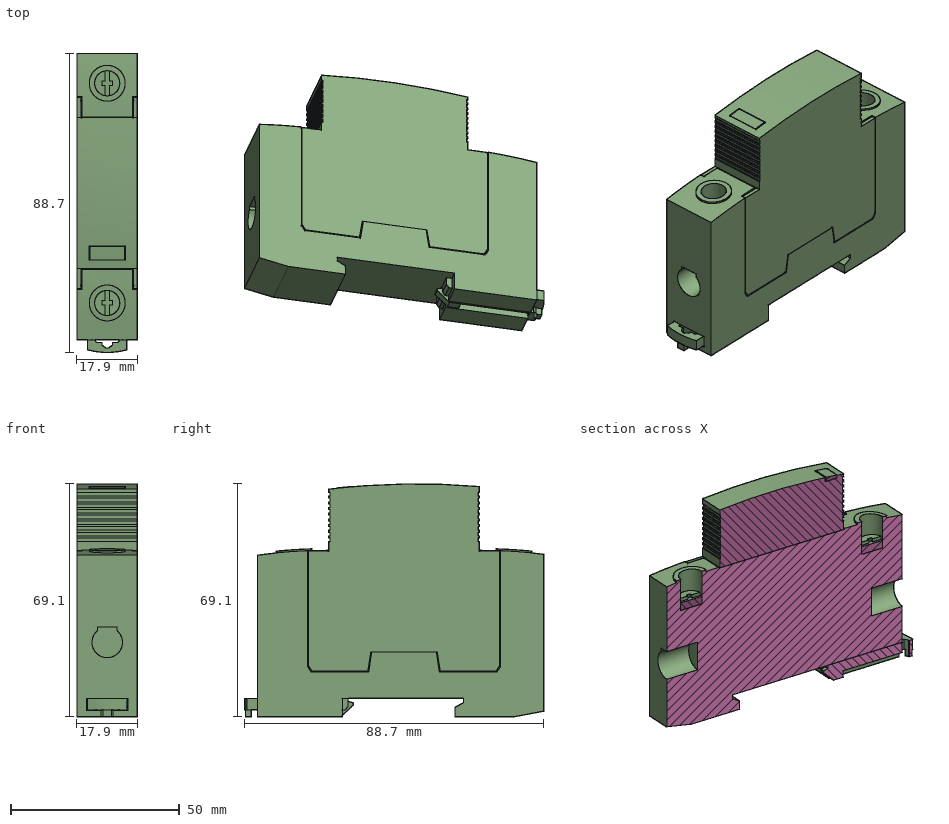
import cadquery as cq
import math


WIDTH = 17.9
HOUSING_LENGTH = 84.9
TOTAL_HEIGHT = 69.1
COVER_CENTRE_Y = 43.5
GAP = 0.3

SHOULDER_Z = 49.4
SHOULDER_RADIUS = 155.2
RAIL_SLOT_FRONT_Y = 25.2
RAIL_SLOT_BACK_Y = 61.0
RAIL_SLOT_Z = 5.5
RAIL_LIP_Y = 58.5
RAIL_LIP_LOW_Z = 2.8
RAIL_LIP_HIGH_Z = 4.3
BACK_BEVEL_LENGTH = 8.9
BACK_BEVEL_HEIGHT = 1.7

TERMINAL_FROM_CENTRE = 32.55
COLLAR_DIAMETER = 10.6
COLLAR_RISE = 0.5
SCREW_DIAMETER = 7.45
SCREW_TOP_Z = 42.6
SCREW_HEIGHT = 3.55
SCREW_SLOT_WIDTH = 1.3
SCREW_CROSS_LENGTH = 3.0
SCREW_SLOT_DEPTH = 1.1
WIRE_HOLE_RADIUS = 4.5
WIRE_HOLE_Z = 22.1
WIRE_HOLE_FLAT_WIDTH = 5.8
WIRE_HOLE_DEPTH = 11.1

HEAD_LENGTH = 44.7
HEAD_TOP_RADIUS = 217.3
HEAD_TOP_CENTRE_Y = 47.3
HEAD_BASE_Z = SHOULDER_Z - GAP
PANEL_THICKNESS = 1.15
PANEL_LENGTH = 56.7
PANEL_BOTTOM_Z = 13.6
PANEL_BEVEL_LENGTH = 1.1
PANEL_BEVEL_HEIGHT = 1.7
PANEL_NOTCH_Z = 19.25
PANEL_NOTCH_BOTTOM_WIDTH = 21.5
PANEL_NOTCH_TOP_WIDTH = 19.7
GRIP_COUNT = 9
GRIP_HEIGHT = 1.1
GRIP_PITCH = 1.7
GRIP_DEPTH = 0.35
GRIP_START_Z = 52.0

WINDOW_WIDTH = 10.2
WINDOW_FRONT_Y = 23.6
WINDOW_LENGTH = 4.0
WINDOW_DEPTH = 0.9
WINDOW_RISE = 0.1

LATCH_WIDTH = 11.7
LATCH_BOTTOM_Z = 2.1
LATCH_SIDE_Y = -3.0
LATCH_TIP_Y = -3.8
LATCH_END_Y = 26.9
LATCH_BEVEL_LENGTH = 0.8
LATCH_BEVEL_HEIGHT = 1.1
RIB_WIDTH = 2.5
RIB_SLOT_WIDTH = 3.55
PEG_FRONT_Y = -3.55
PEG_LENGTH = 1.8
HOOK_BACK_Y = 21.3
HOOK_FOOT_Y = 24.75
HOOK_TIP_Y = 28.5
HOOK_TIP_LOW_Z = 3.55
HOOK_TIP_HIGH_Z = 4.2
HOOK_TOP_Z = 4.7
TOOL_MOUTH_WIDTH = 7.3
TOOL_STEP_WIDTH = 6.4
TOOL_STEP_DEPTH = 0.8
TOOL_NECK_WIDTH = 3.0
TOOL_NECK_DEPTH = 1.6
TOOL_TIP_WIDTH = 0.8
TOOL_TIP_DEPTH = 2.4

HEAD_FRONT_Y = COVER_CENTRE_Y - HEAD_LENGTH / 2
HEAD_BACK_Y = COVER_CENTRE_Y + HEAD_LENGTH / 2
FRONT_TERMINAL_Y = COVER_CENTRE_Y - TERMINAL_FROM_CENTRE
BACK_TERMINAL_Y = COVER_CENTRE_Y + TERMINAL_FROM_CENTRE
TERMINALS_Y = (FRONT_TERMINAL_Y, BACK_TERMINAL_Y)


def block(x_size, y_start, y_end, z_start, z_end):
    """Box centred on X between the given Y and Z limits."""
    size = (x_size, y_end - y_start, z_end - z_start)
    return cq.Workplane("XY").box(*size, centered=(True, False, False)).translate((0, y_start, z_start))


def upright_cylinder(diameter, y, z_start, z_end):
    """Cylinder along Z on the middle plane of the part."""
    return cq.Workplane("XY", origin=(0, y, z_start)).circle(diameter / 2).extrude(z_end - z_start)


def extrude_across(outline, width):
    """Extrude a closed YZ outline symmetrically across X."""
    return outline.extrude(width / 2, both=True)


def shoulder_z(distance):
    """Height of the housing top at a distance beyond the head, where it curves down."""
    return SHOULDER_Z - SHOULDER_RADIUS + math.sqrt(SHOULDER_RADIUS**2 - distance**2)


def head_top_z(y):
    """Height of the curved head top."""
    return TOTAL_HEIGHT - HEAD_TOP_RADIUS + math.sqrt(HEAD_TOP_RADIUS**2 - (y - HEAD_TOP_CENTRE_Y) ** 2)


def housing_blank(rise=0.0):
    """Full-width housing outline, with its top surface raised by the given amount."""
    front_run = HEAD_FRONT_Y
    back_run = HOUSING_LENGTH - HEAD_BACK_Y
    outline = (
        cq.Workplane("YZ")
        .moveTo(0, 0)
        .lineTo(0, shoulder_z(front_run) + rise)
        .threePointArc((front_run / 2, shoulder_z(front_run / 2) + rise), (HEAD_FRONT_Y, SHOULDER_Z + rise))
        .lineTo(HEAD_BACK_Y, SHOULDER_Z + rise)
        .threePointArc(
            (HEAD_BACK_Y + back_run / 2, shoulder_z(back_run / 2) + rise),
            (HOUSING_LENGTH, shoulder_z(back_run) + rise),
        )
        .lineTo(HOUSING_LENGTH, BACK_BEVEL_HEIGHT)
        .lineTo(HOUSING_LENGTH - BACK_BEVEL_LENGTH, 0)
        .lineTo(RAIL_LIP_Y, 0)
        .lineTo(RAIL_LIP_Y, RAIL_LIP_LOW_Z)
        .lineTo(RAIL_SLOT_BACK_Y, RAIL_LIP_HIGH_Z)
        .lineTo(RAIL_SLOT_BACK_Y, RAIL_SLOT_Z)
        .lineTo(RAIL_SLOT_FRONT_Y, RAIL_SLOT_Z)
        .lineTo(RAIL_SLOT_FRONT_Y, 0)
        .close()
    )
    return extrude_across(outline, WIDTH)


def terminal_collar(y):
    """Raised ring around a screw hole; its top follows the curve of the housing top."""
    top_z = SHOULDER_Z + COLLAR_RISE
    return upright_cylinder(COLLAR_DIAMETER, y, SCREW_TOP_Z, top_z).intersect(housing_blank(COLLAR_RISE))


def wire_hole(y_start):
    """Round wire entry with a square-cornered flat across its top."""
    y_end = y_start + WIRE_HOLE_DEPTH
    flat = block(WIRE_HOLE_FLAT_WIDTH, y_start, y_end, WIRE_HOLE_Z, WIRE_HOLE_Z + WIRE_HOLE_RADIUS)
    bore = (
        cq.Workplane("XZ", origin=(0, y_start, WIRE_HOLE_Z))
        .circle(WIRE_HOLE_RADIUS)
        .extrude(-WIRE_HOLE_DEPTH)
    )
    return bore.union(flat)


def side_panels(thickness, clearance=0.0):
    """Pair of notched side plates, grown by a clearance for the housing recess that takes them."""
    half_length = PANEL_LENGTH / 2 + clearance
    bottom_z = PANEL_BOTTOM_Z - clearance
    notch_bottom = PANEL_NOTCH_BOTTOM_WIDTH / 2 - clearance
    notch_top = PANEL_NOTCH_TOP_WIDTH / 2 - clearance
    top_z = HEAD_BASE_Z if clearance == 0 else TOTAL_HEIGHT
    right_half = [
        (notch_top, PANEL_NOTCH_Z),
        (notch_bottom, bottom_z),
        (half_length - PANEL_BEVEL_LENGTH, bottom_z),
        (half_length, bottom_z + PANEL_BEVEL_HEIGHT),
        (half_length, top_z),
    ]
    left_half = [(-y, z) for y, z in reversed(right_half)]
    outline = cq.Workplane("YZ", origin=(0, COVER_CENTRE_Y, 0)).polyline(right_half + left_half).close()
    core = block(WIDTH - 2 * thickness, 0, HOUSING_LENGTH, 0, TOTAL_HEIGHT)
    return extrude_across(outline, WIDTH).cut(core)


def make_housing():
    housing = housing_blank()
    for y in TERMINALS_Y:
        housing = housing.union(terminal_collar(y))
    for y in TERMINALS_Y:
        housing = housing.cut(upright_cylinder(SCREW_DIAMETER, y, SCREW_TOP_Z - SCREW_HEIGHT, TOTAL_HEIGHT))
    for y_start in (0, HOUSING_LENGTH - WIRE_HOLE_DEPTH):
        housing = housing.cut(wire_hole(y_start))
    head_seat = block(WIDTH, HEAD_FRONT_Y - GAP, HEAD_BACK_Y + GAP, HEAD_BASE_Z, TOTAL_HEIGHT)
    latch_channel = block(
        LATCH_WIDTH + 2 * GAP, 0, RAIL_SLOT_FRONT_Y, LATCH_BOTTOM_Z - GAP, RAIL_SLOT_Z
    )
    rib_slot = block(RIB_SLOT_WIDTH, 0, RAIL_SLOT_FRONT_Y, 0, LATCH_BOTTOM_Z)
    for pocket in (head_seat, side_panels(PANEL_THICKNESS + GAP, GAP), latch_channel, rib_slot):
        housing = housing.cut(pocket)
    return housing


def below_head_top(width, y_start, y_end, z_start, rise=0.0):
    """Block whose upper face is the head-top curve, raised by the given amount."""
    y_middle = (y_start + y_end) / 2
    outline = (
        cq.Workplane("YZ")
        .moveTo(y_start, z_start)
        .lineTo(y_start, head_top_z(y_start) + rise)
        .threePointArc((y_middle, head_top_z(y_middle) + rise), (y_end, head_top_z(y_end) + rise))
        .lineTo(y_end, z_start)
        .close()
    )
    return extrude_across(outline, width)


WINDOW_BACK_Y = WINDOW_FRONT_Y + WINDOW_LENGTH
WINDOW_FLOOR_Z = head_top_z(WINDOW_FRONT_Y) - WINDOW_DEPTH


def make_cover():
    cover = below_head_top(WIDTH, HEAD_FRONT_Y, HEAD_BACK_Y, HEAD_BASE_Z)
    cover = cover.union(side_panels(PANEL_THICKNESS))
    for index in range(GRIP_COUNT):
        z = GRIP_START_Z + index * GRIP_PITCH
        for y in (HEAD_FRONT_Y, HEAD_BACK_Y - GRIP_DEPTH):
            cover = cover.cut(block(WIDTH, y, y + GRIP_DEPTH, z, z + GRIP_HEIGHT))
    window_recess = block(
        WINDOW_WIDTH + 2 * GAP, WINDOW_FRONT_Y, WINDOW_BACK_Y + GAP, WINDOW_FLOOR_Z, TOTAL_HEIGHT
    )
    return cover.cut(window_recess)


def make_window():
    return below_head_top(WINDOW_WIDTH, WINDOW_FRONT_Y, WINDOW_BACK_Y, WINDOW_FLOOR_Z, WINDOW_RISE)


def make_screw(y):
    screw = upright_cylinder(SCREW_DIAMETER, y, SCREW_TOP_Z - SCREW_HEIGHT, SCREW_TOP_Z)
    slot_floor_z = SCREW_TOP_Z - SCREW_SLOT_DEPTH
    half_slot = SCREW_SLOT_WIDTH / 2
    long_slot = block(
        SCREW_SLOT_WIDTH, y - SCREW_DIAMETER / 2, y + SCREW_DIAMETER / 2, slot_floor_z, SCREW_TOP_Z
    )
    cross_slot = block(SCREW_CROSS_LENGTH, y - half_slot, y + half_slot, slot_floor_z, SCREW_TOP_Z)
    return screw.cut(long_slot).cut(cross_slot)


def latch_plate():
    """Sliding plate with a rounded pull tab and a bevelled lower edge at its inner end."""
    half_width = LATCH_WIDTH / 2
    plate = (
        cq.Workplane("XY", origin=(0, 0, LATCH_BOTTOM_Z))
        .moveTo(-half_width, LATCH_SIDE_Y)
        .threePointArc((0, LATCH_TIP_Y), (half_width, LATCH_SIDE_Y))
        .lineTo(half_width, LATCH_END_Y)
        .lineTo(-half_width, LATCH_END_Y)
        .close()
        .extrude(RAIL_SLOT_Z - LATCH_BOTTOM_Z)
    )
    bevel = (
        cq.Workplane("YZ")
        .moveTo(LATCH_END_Y, LATCH_BOTTOM_Z)
        .lineTo(LATCH_END_Y - LATCH_BEVEL_LENGTH, LATCH_BOTTOM_Z)
        .lineTo(LATCH_END_Y, LATCH_BOTTOM_Z + LATCH_BEVEL_HEIGHT)
        .close()
    )
    return plate.cut(extrude_across(bevel, LATCH_WIDTH))


def tool_opening():
    """Stepped, pointed opening through the pull tab and its peg for a screwdriver blade."""
    right_half = [
        (TOOL_TIP_WIDTH / 2, -TOOL_TIP_DEPTH),
        (TOOL_NECK_WIDTH / 2, -TOOL_NECK_DEPTH),
        (TOOL_NECK_WIDTH / 2, -TOOL_STEP_DEPTH),
        (TOOL_STEP_WIDTH / 2, -TOOL_STEP_DEPTH),
        (TOOL_MOUTH_WIDTH / 2, 0),
    ]
    left_half = [(-x, y) for x, y in reversed(right_half)]
    return cq.Workplane("XY").polyline(right_half + left_half).close().extrude(RAIL_SLOT_Z)


def latch_hook():
    """Central rib whose nose catches the rail."""
    outline = (
        cq.Workplane("YZ")
        .moveTo(HOOK_BACK_Y, 0)
        .lineTo(HOOK_FOOT_Y, 0)
        .lineTo(HOOK_TIP_Y, HOOK_TIP_LOW_Z)
        .lineTo(HOOK_TIP_Y, HOOK_TIP_HIGH_Z)
        .lineTo(LATCH_END_Y, HOOK_TOP_Z)
        .lineTo(HOOK_BACK_Y, HOOK_TOP_Z)
        .close()
    )
    return extrude_across(outline, RIB_WIDTH)


def make_latch():
    peg = block(RIB_WIDTH, PEG_FRONT_Y, PEG_FRONT_Y + PEG_LENGTH, 0, LATCH_BOTTOM_Z)
    return latch_plate().union(peg).cut(tool_opening()).union(latch_hook())


housing = make_housing()
cover = make_cover()
window = make_window()
latch = make_latch()
screws = [make_screw(y) for y in TERMINALS_Y]

result = cq.Compound.makeCompound(
    [housing.val(), cover.val(), window.val(), latch.val()] + [screw.val() for screw in screws]
)